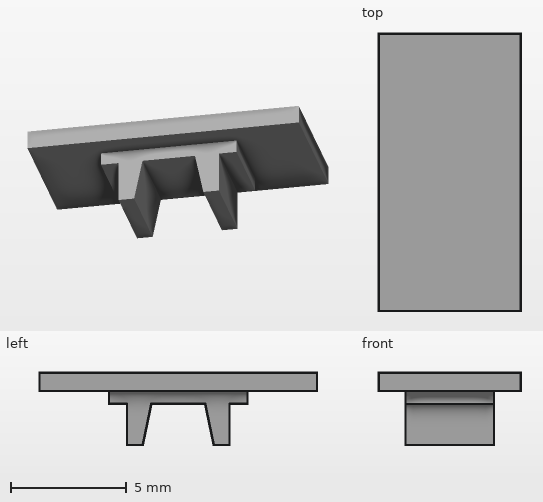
import cadquery as cq

plate_width = 6.15
plate_length = 12.0
plate_thickness = 0.8

clip_width = 3.83
pad_length = 6.0
pad_thickness = 0.55

total_height = 3.13
leg_span = 4.44
leg_root = 1.06
leg_tip = 0.69

plate_bottom = total_height - plate_thickness
pad_bottom = plate_bottom - pad_thickness


def box_from(bottom, width, length, height):
    """Box centred on X and Y whose lower face lies at the given height."""
    box = cq.Workplane("XY").box(width, length, height, centered=(True, True, False))
    return box.translate((0, 0, bottom))


def clip_leg(side):
    """Tapered leg on the +Y (side = 1) or -Y (side = -1) half of the pad."""
    outer = leg_span / 2
    profile = [
        (side * outer, 0),
        (side * outer, pad_bottom),
        (side * (outer - leg_root), pad_bottom),
        (side * (outer - leg_tip), 0),
    ]
    return cq.Workplane("YZ").polyline(profile).close().extrude(clip_width / 2, both=True)


plate = box_from(plate_bottom, plate_width, plate_length, plate_thickness)
pad = box_from(pad_bottom, clip_width, pad_length, pad_thickness)

result = plate.union(pad)
for side in (-1, 1):
    result = result.union(clip_leg(side))